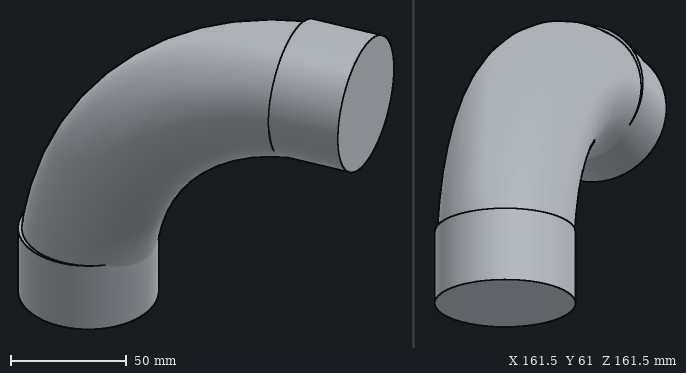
import cadquery as cq

overall = 161.5
collar_diameter = 61.0
collar_length = 32.8
pipe_diameter = 59.5
bend_start = collar_length / 2

collar_radius = collar_diameter / 2
bend_radius = overall - collar_radius - bend_start

axis_x = -overall / 2 + collar_radius
axis_z = overall / 2 - collar_radius
bottom_z = -overall / 2
end_x = overall / 2


def make_bend():
    """Quarter-circle pipe whose ends sit inside the two collars."""
    start_z = bottom_z + bend_start
    return (
        cq.Workplane("XY", origin=(axis_x, 0, start_z))
        .circle(pipe_diameter / 2)
        .revolve(90, (bend_radius, 0, 0), (bend_radius, 1, 0))
    )


def make_collar(plane, origin, length):
    """Straight round collar running from its end face toward the bend."""
    return cq.Workplane(plane, origin=origin).circle(collar_radius).extrude(length)


bottom_collar = make_collar("XY", (axis_x, 0, bottom_z), collar_length)
end_collar = make_collar("YZ", (end_x, 0, axis_z), -collar_length)

result = make_bend().union(bottom_collar).union(end_collar)